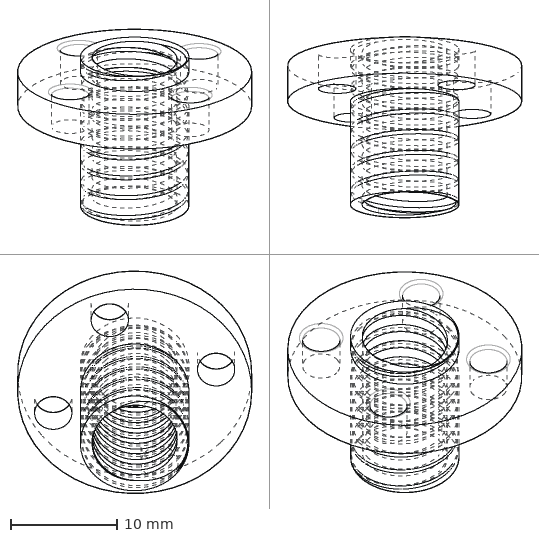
import cadquery as cq
import math


barrel_diameter = 10.2
barrel_length = 10.0
flange_diameter = 22.0
flange_thickness = 3.5
collar_height = 1.5
total_height = barrel_length + flange_thickness + collar_height

hole_diameter = 3.5
hole_circle_radius = 8.0
hole_count = 4
hole_rim_fillet = 0.3

bore_diameter = 8.0
thread_pitch = 2.0
thread_root_radius = 5.0
thread_root_width = 0.4
thread_flank_angle = 20.0
bore_overlap = 0.3


def make_body():
    """Barrel and collar of one diameter, passing through the round flange."""
    barrel = cq.Workplane("XY").circle(barrel_diameter / 2).extrude(total_height)
    flange = (
        cq.Workplane("XY")
        .workplane(offset=barrel_length)
        .circle(flange_diameter / 2)
        .extrude(flange_thickness)
    )
    return barrel.union(flange)


def cut_mounting_holes(body):
    """Through holes in the flange, each with a rounded upper rim."""
    flange_top = barrel_length + flange_thickness
    hole_radius = hole_diameter / 2
    rim_radius = hole_radius + hole_rim_fillet
    arc_offset = hole_rim_fillet * math.sqrt(0.5)
    rim_midpoint = (rim_radius - arc_offset, flange_top - hole_rim_fillet + arc_offset)
    cutter = (
        cq.Workplane("XZ")
        .moveTo(0, barrel_length)
        .lineTo(hole_radius, barrel_length)
        .lineTo(hole_radius, flange_top - hole_rim_fillet)
        .threePointArc(rim_midpoint, (rim_radius, flange_top))
        .lineTo(0, flange_top)
        .close()
        .revolve(360, (0, 0, 0), (0, 1, 0))
        .translate((hole_circle_radius, 0, 0))
    )
    for index in range(hole_count):
        body = body.cut(cutter.rotate((0, 0, 0), (0, 0, 1), index * 360 / hole_count))
    return body


def make_thread_groove():
    """Helical groove running past both ends; centred on the top face at +X."""
    groove_start = -thread_pitch / 2
    groove_length = total_height + thread_pitch - groove_start
    inner_radius = bore_diameter / 2 - bore_overlap
    root_half_width = thread_root_width / 2
    flank_rise = (thread_root_radius - inner_radius) * math.tan(math.radians(thread_flank_angle))
    inner_half_width = root_half_width + flank_rise
    helix = cq.Wire.makeHelix(
        thread_pitch, groove_length, thread_root_radius, center=cq.Vector(0, 0, groove_start)
    )
    return (
        cq.Workplane("XZ")
        .polyline(
            [
                (inner_radius, groove_start - inner_half_width),
                (thread_root_radius, groove_start - root_half_width),
                (thread_root_radius, groove_start + root_half_width),
                (inner_radius, groove_start + inner_half_width),
            ]
        )
        .close()
        .sweep(cq.Workplane(obj=helix), isFrenet=True)
    )


def cut_threaded_bore(body):
    """Helical groove first, then the plain through bore that trims the thread crests."""
    bore = cq.Workplane("XY").circle(bore_diameter / 2).extrude(total_height)
    return body.cut(make_thread_groove()).cut(bore)


result = cut_threaded_bore(cut_mounting_holes(make_body()))